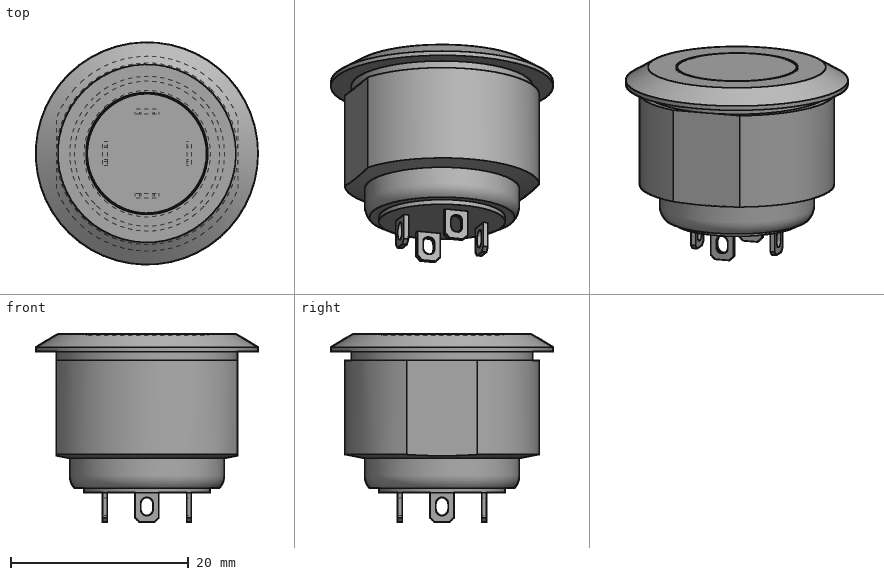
import cadquery as cq
import math


FLANGE_DIAMETER = 25
FACE_DIAMETER = 20
BEVEL_DEPTH = 1.5
FLANGE_DEPTH = 2

BUTTON_DIAMETER = 13.7
BUTTON_BEVEL = 0.15

NECK_DIAMETER = 20.4
NECK_END = 3
BODY_DIAMETER = 21.9
BODY_SIDE_END = 13.55
BODY_END = 14

HOUSING_DIAMETER = 17.4
HOUSING_SIDE_END = 15.95
HOUSING_END = 17.32
HOUSING_EDGE_RADIUS = 2
BASE_DIAMETER = 14.2
BASE_END = 17.85

TERMINAL_COUNT = 4
TERMINAL_END = 21.15
TERMINAL_WIDTH = 2.7
TERMINAL_THICKNESS = 0.55
TERMINAL_OUTER_RADIUS = 5
TERMINAL_CHAMFER = 0.5
SLOT_WIDTH = 1.35
SLOT_LENGTH = 2
SLOT_CENTER_DEPTH = 19.4


def disc(diameter, start, end):
    """Round section between two depths below the face."""
    return cq.Workplane("XY").workplane(offset=-end).circle(diameter / 2).extrude(end - start)


def make_flange():
    face_radius = FACE_DIAMETER / 2
    rim_radius = FLANGE_DIAMETER / 2
    half_section = [
        (0, 0),
        (face_radius, 0),
        (rim_radius, -BEVEL_DEPTH),
        (rim_radius, -FLANGE_DEPTH),
        (0, -FLANGE_DEPTH),
    ]
    return cq.Workplane("XZ").polyline(half_section).close().revolve(360, (0, 0), (0, 1))


def make_button_groove():
    """Groove with a straight outer wall and the button bevel as its inner wall."""
    outer = BUTTON_DIAMETER / 2
    half_section = [(outer - BUTTON_BEVEL, 0), (outer, 0), (outer, -BUTTON_BEVEL)]
    return cq.Workplane("XZ").polyline(half_section).close().revolve(360, (0, 0), (0, 1))


def make_body():
    """Round body with a conical underside; its flats are flush with the neck."""
    body_radius = BODY_DIAMETER / 2
    half_section = [
        (0, -NECK_END),
        (body_radius, -NECK_END),
        (body_radius, -BODY_SIDE_END),
        (HOUSING_DIAMETER / 2, -BODY_END),
        (0, -BODY_END),
    ]
    body = cq.Workplane("XZ").polyline(half_section).close().revolve(360, (0, 0), (0, 1))
    between_flats = cq.Workplane("XY").rect(NECK_DIAMETER, BODY_DIAMETER).extrude(-BODY_END)
    return body.intersect(between_flats)


def make_housing():
    """The edge arc leaves the side smoothly and meets the flat end at a corner."""
    radius = HOUSING_DIAMETER / 2
    edge_height = HOUSING_END - HOUSING_SIDE_END
    end_angle = math.asin(edge_height / HOUSING_EDGE_RADIUS)
    arc_center = radius - HOUSING_EDGE_RADIUS

    def edge_point(angle):
        return (
            arc_center + HOUSING_EDGE_RADIUS * math.cos(angle),
            -HOUSING_SIDE_END - HOUSING_EDGE_RADIUS * math.sin(angle),
        )

    return (
        cq.Workplane("XZ")
        .moveTo(0, -BODY_END)
        .lineTo(radius, -BODY_END)
        .lineTo(radius, -HOUSING_SIDE_END)
        .threePointArc(edge_point(end_angle / 2), edge_point(end_angle))
        .lineTo(0, -HOUSING_END)
        .close()
        .revolve(360, (0, 0), (0, 1))
    )


def make_terminal():
    """Slotted tab on the -Y side, with its two free corners chamfered."""
    length = TERMINAL_END - BASE_END
    outer_face = cq.Workplane("XZ", origin=(0, -TERMINAL_OUTER_RADIUS, 0))
    tab = (
        outer_face.center(0, -BASE_END - length / 2)
        .rect(TERMINAL_WIDTH, length)
        .extrude(-TERMINAL_THICKNESS)
        .edges("|Y and <Z")
        .chamfer(TERMINAL_CHAMFER)
    )
    slot = (
        outer_face.center(0, -SLOT_CENTER_DEPTH)
        .slot2D(SLOT_LENGTH, SLOT_WIDTH, 90)
        .extrude(-TERMINAL_THICKNESS)
    )
    return tab.cut(slot)


result = make_flange().cut(make_button_groove())
result = result.union(disc(NECK_DIAMETER, FLANGE_DEPTH, NECK_END))
result = result.union(make_body())
result = result.union(make_housing())
result = result.union(disc(BASE_DIAMETER, HOUSING_END, BASE_END))

terminal = make_terminal()
for index in range(TERMINAL_COUNT):
    turn = index * 360 / TERMINAL_COUNT
    result = result.union(terminal.rotate((0, 0, 0), (0, 0, 1), turn))